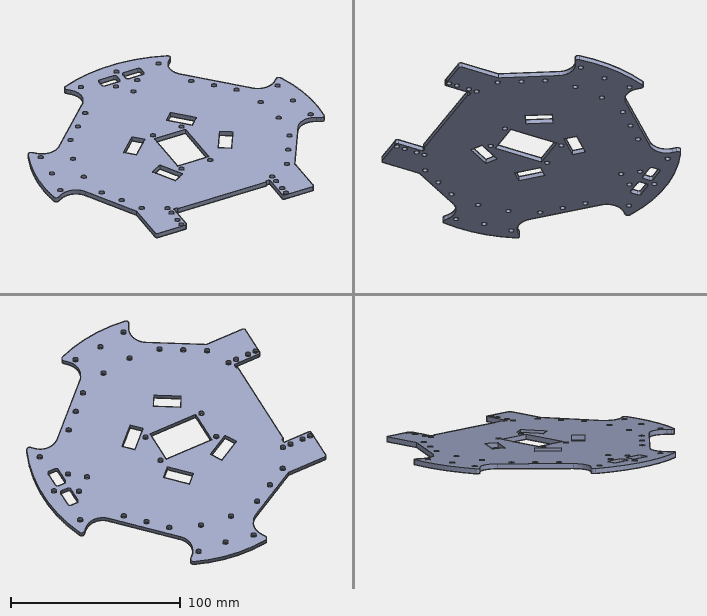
import cadquery as cq
import math

thickness = 3.0
plate_radius = 89.9
hole_diameter = 3.0

bay_apothem = 68.0
bay_half_width = 32.7
bay_corner_radius = 10.5
front_bay_angle = 135.0
rear_bay_angle = 60.0
bay_angles = (front_bay_angle, rear_bay_angle, -front_bay_angle, -rear_bay_angle)
wing_tip_radius = 1.8

tail_end_x = 70.8
tail_half_width = 52.1
gap_start_x = 54.3
gap_half_width = 31.6
prong_corner_radius = 1.3
relief_depth = 0.9
relief_height = 2.5

rear_bay_rad = math.radians(rear_bay_angle)
tail_start_x = (bay_apothem - tail_half_width * math.sin(rear_bay_rad)) / math.cos(rear_bay_rad)

row_radius = 63.5
row_pitch = 14.0

side_wing_angle = (front_bay_angle + rear_bay_angle) / 2
tip_hole_radius = 82.9
side_tip_hole_spread = 12.0
side_middle_hole_radius = 80.2
side_inner_hole_radius = 64.4
side_inner_hole_spread = 8.4

front_tip_hole_spread = 18.0
front_inner_hole_x = -61.0
front_pair_x = -70.0
front_pair_y = 7.0
cable_slot_x = -76.8
cable_slot_y = 8.0
cable_slot_length = 11.9
cable_slot_width = 6.7
cable_slot_corner = 1.5

prong_hole_xs = (51.0, 56.1, 64.0, 69.0)
prong_hole_y = 34.5

window_x = 1.5
window_length = 30.2
window_width = 20.5
window_hole_pitch_x = 37.0
window_hole_pitch_y = 18.9

motor_slot_radial = 26.0
motor_slot_shift = 8.0
motor_slot_length = 16.0
motor_slot_width = 8.0


def polar(radius, angle):
    """Point at a radius and an angle in degrees."""
    return radius * math.cos(math.radians(angle)), radius * math.sin(math.radians(angle))


def along_edge(radial, sideways, angle):
    """Point at a radial distance in the given direction, shifted sideways anticlockwise."""
    x, y = polar(radial, angle)
    dx, dy = polar(sideways, angle + 90)
    return x + dx, y + dy


def block(length_x, length_y, x, y):
    """Block with the thickness of the plate, centred at (x, y)."""
    return cq.Workplane("XY").center(x, y).rect(length_x, length_y).extrude(thickness)


def make_bay(angle):
    """Cutter for one bay, with rounded inner corners."""
    depth = plate_radius
    bay = block(depth, 2 * bay_half_width, bay_apothem + depth / 2, 0)
    bay = bay.edges("|Z and <X").fillet(bay_corner_radius)
    return bay.rotate((0, 0, 0), (0, 0, 1), angle)


def make_wings():
    """Round blank with the bays cut out and its wing tips rounded."""
    disc = cq.Workplane("XY").circle(plate_radius).extrude(thickness)
    for angle in bay_angles:
        disc = disc.cut(make_bay(angle))
    rim_radial = math.sqrt(plate_radius**2 - bay_half_width**2)
    for angle in bay_angles:
        for side in (-1, 1):
            x, y = along_edge(rim_radial, side * bay_half_width, angle)
            if x < tail_start_x:
                corner = cq.selectors.NearestToPointSelector((x, y, thickness / 2))
                disc = disc.edges("|Z").edges(corner).fillet(wing_tip_radius)
    return disc


def make_tail():
    """Tail block from the bay edges to the prong ends, with the gap between the prongs."""
    length = tail_end_x - tail_start_x
    tail = block(length, 2 * tail_half_width, tail_start_x + length / 2, 0)
    gap_length = tail_end_x - gap_start_x
    tail = tail.cut(block(gap_length, 2 * gap_half_width, gap_start_x + gap_length / 2, 0))
    return tail.edges("|Z and >X").fillet(prong_corner_radius)


plate = make_wings()
rear_length = plate_radius
plate = plate.cut(block(rear_length, 2 * plate_radius, tail_start_x + rear_length / 2, 0))
plate = plate.union(make_tail())

for side in (-1, 1):
    relief_y = side * (gap_half_width - relief_height / 2)
    plate = plate.cut(block(relief_depth, relief_height, gap_start_x - relief_depth / 2, relief_y))

plate = plate.cut(block(window_length, window_width, window_x, 0))

for angle in bay_angles:
    slot = block(motor_slot_width, motor_slot_length, motor_slot_radial, motor_slot_shift)
    plate = plate.cut(slot.rotate((0, 0, 0), (0, 0, 1), angle))

for side in (-1, 1):
    slot = block(cable_slot_width, cable_slot_length, cable_slot_x, side * cable_slot_y)
    plate = plate.cut(slot.edges("|Z").fillet(cable_slot_corner))

holes = [(-tip_hole_radius, 0), (front_inner_hole_x, 0)]
for angle in bay_angles:
    holes += [along_edge(row_radius, step * row_pitch, angle) for step in (-1, 0, 1)]
for side in (-1, 1):
    wing_angle = side * side_wing_angle
    holes.append(polar(tip_hole_radius, 180 + side * front_tip_hole_spread))
    holes.append((front_pair_x, side * front_pair_y))
    holes.append(polar(side_middle_hole_radius, wing_angle))
    for turn in (-1, 1):
        holes.append(polar(tip_hole_radius, wing_angle + turn * side_tip_hole_spread))
        holes.append(polar(side_inner_hole_radius, wing_angle + turn * side_inner_hole_spread))
        holes.append((window_x + turn * window_hole_pitch_x / 2, side * window_hole_pitch_y / 2))
    holes += [(x, side * prong_hole_y) for x in prong_hole_xs]

result = plate.cut(cq.Workplane("XY").pushPoints(holes).circle(hole_diameter / 2).extrude(thickness))